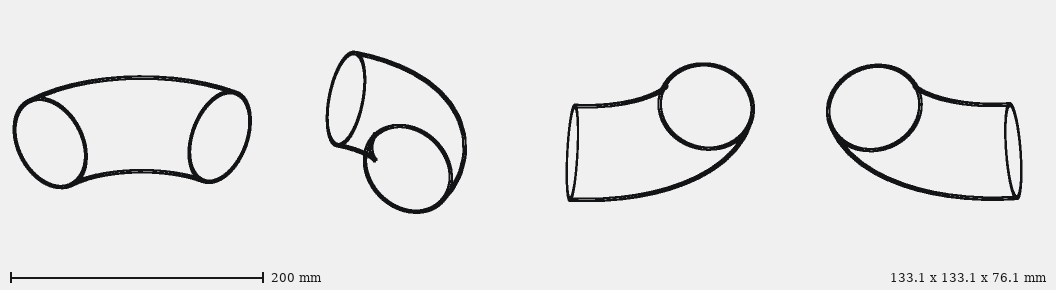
import cadquery as cq

outer_diameter = 76.1
wall_thickness = 2.0
bend_radius = 95.0
bend_angle = 90.0

outer_radius = outer_diameter / 2
inner_radius = outer_radius - wall_thickness


def make_elbow():
    """Sweep the pipe ring about the Z axis, from the -Y facing end to the +X facing end."""
    ring = (
        cq.Workplane("XZ")
        .center(-bend_radius, 0)
        .circle(outer_radius)
        .circle(inner_radius)
    )
    axis_start = (bend_radius, 0)
    axis_end = (bend_radius, -1)
    return ring.revolve(bend_angle, axis_start, axis_end)


result = make_elbow()